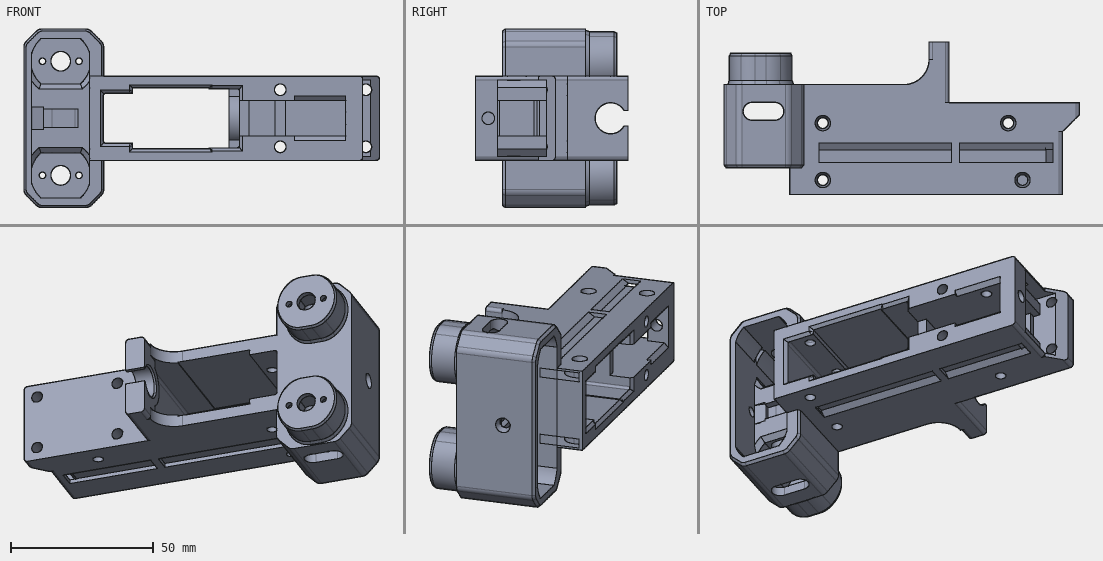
import cadquery as cq
import math


body_left = 23.1
body_right = 118.8
body_half_z = 14.8
rear_y = 38.6
step_y = 32.25
flange_tip_x = 124.75
flange_tip_y = 28.05
edge_round = 1.3

tab_left = 71.9
tab_right = 79.0
tab_top = 53.5
tab_root_radius = 8.7
clip_y = 47.4
clip_radius = 5.4
clip_chamfer = 0.6
clip_gap = 5.4
clip_ring_radius = 8.75
clip_relief_y = 43.0

housing_width = 28.05
housing_half_z = 31.35
housing_front = 9.4
housing_corner = 5.2
housing_corner_round = 3.0
housing_rim_chamfer = 1.05
housing_rim_depth = 0.8
boss_x = 12.93
boss_z = 20.0
boss_top = 49.55
boss_radius = 11.07
boss_half_z = 10.4
boss_flat_blend = 8.0
boss_top_chamfer = 1.0
boss_foot_height = 1.4
boss_foot_flare = 0.5
cavity_radius = 10.5
cavity_half_x = 10.16
cavity_half_z = 7.9
cavity_floor_y = 23.3
pocket_floor_y = 47.5
pocket_mouth_chamfer = 1.8
shaft_radius = 3.4
screw_radius = 1.1
screw_spacing = 12.8
wire_recess_depth = 2.5
wire_ramp_depth = 1.0
wire_recess_x = (6.95, 19.05)
wire_recess_half_z = 3.2
wire_ramp_left = 2.9
wire_ramp_half_z = 4.0
vent_slot_x = 13.9
vent_slot_y = 29.2
vent_slot_length = 14.2
vent_slot_width = 6.2
side_hole_y = 21.3

window_mouth = 1.1
window_left = 26.8
window_right = 76.7
window_step_left = 37.0
window_step_right = 66.0
window_half_left = 9.85
window_half_mid = 11.75
window_half_right = 11.45
window_corner = 2.0

channel_right = 112.85
channel_half_z = 6.2
channel_steps = ((window_right - window_mouth, 8.5), (tab_right, 20.5), (88.0, 21.5), (91.8, 22.5))
relief_left = 94.85
relief_half_z = 7.8
exit_front_y = 7.8
exit_back_y = 24.9
exit_half_z = 13.35
exit_wall_x = 115.4
exit_ramp_z = 10.8
end_hole_y = 4.5
end_hole_radius = 2.2

outer_slots = ((33.4, 79.85), (82.7, exit_wall_x))
slot_front_y = 11.3
slot_rear_y = 18.0
slot_lean = 2.3
slot_depth = 1.5

strap_y = (1.25, 15.8)
strap_z = (10.7, 14.05)
strap_depth = 3.5
strap_bend_y = 4.3
strap_bend_radius = 5.0

front_hole_x = 89.9
front_hole_pitch = 30.0
front_hole_z = 10.0
front_hole_radius = 2.0
thread_radius = 1.85
thread_mouth_radius = 2.7
thread_taper = 4.5
low_hole_y = 5.1
high_hole_y = 25.05
left_hole_x = 34.7
high_right_hole_x = 99.7
low_right_hole_x = 104.7


def box(x_range, y_range, z_range):
    """Axis-aligned box between pairs of limits."""
    size = [r[1] - r[0] for r in (x_range, y_range, z_range)]
    corner = (x_range[0], y_range[0], z_range[0])
    return cq.Workplane("XY").box(*size, centered=False).translate(corner)


def span(half):
    """Limits at equal distances either side of zero."""
    return (-half, half)


def cylinder(start, direction, radius, length):
    return cq.Workplane(cq.Solid.makeCylinder(radius, length, cq.Vector(*start), cq.Vector(*direction)))


def cone(start, direction, radius_start, radius_end, length):
    return cq.Workplane(
        cq.Solid.makeCone(radius_start, radius_end, length, cq.Vector(*start), cq.Vector(*direction))
    )


def tapered_hole(start, direction, length, taper_length):
    """Screw hole that narrows from a wide mouth at the start point."""
    hole = cylinder(start, direction, thread_radius, length)
    mouth = cone(start, direction, thread_mouth_radius, thread_radius, taper_length)
    return hole.union(mouth)


def facing_y(y):
    """Workplane at the given Y whose sketch axes are X and Z (normal toward -Y)."""
    return cq.Workplane(cq.Plane(origin=(0, y, 0), xDir=(1, 0, 0), normal=(0, -1, 0)))


def flatted_disc(center_z, radius, half_x, half_z, y_range):
    """Disc around the boss axis, cut by flats in X and Z."""
    disc = cylinder((boss_x, y_range[0], center_z), (0, 1, 0), radius, y_range[1] - y_range[0])
    z_range = (center_z - half_z, center_z + half_z)
    limits = box((boss_x - half_x, boss_x + half_x), y_range, z_range)
    return disc.intersect(limits)


def tapered(outline, height, shrink):
    """Solid rising from an outline toward +Y, shrinking evenly over its height."""
    angle = math.degrees(math.atan2(shrink, height))
    return cq.Workplane(cq.Solid.extrudeLinear(outline, [], cq.Vector(0, height, 0), angle))


def make_body():
    arc_center = (tab_left - tab_root_radius, rear_y + tab_root_radius)
    arc_reach = tab_root_radius * math.sqrt(0.5)
    arc_mid = (arc_center[0] + arc_reach, arc_center[1] - arc_reach)
    slope_rise = flange_tip_x - body_right
    body = (
        cq.Workplane("XY", origin=(0, 0, -body_half_z))
        .moveTo(body_left, 0)
        .lineTo(body_right, 0)
        .lineTo(body_right, flange_tip_y - slope_rise)
        .lineTo(flange_tip_x, flange_tip_y)
        .lineTo(flange_tip_x, step_y)
        .lineTo(tab_right, step_y)
        .lineTo(tab_right, tab_top)
        .lineTo(tab_left, tab_top)
        .lineTo(tab_left, arc_center[1])
        .threePointArc(arc_mid, (arc_center[0], rear_y))
        .lineTo(body_left, rear_y)
        .close()
        .extrude(2 * body_half_z)
    )
    for end_x, y_low, y_high in (
        (body_right, 0, flange_tip_y - slope_rise),
        (flange_tip_x, flange_tip_y - edge_round, step_y),
        (tab_right, step_y, tab_top),
    ):
        body = body.cut(edge_rounds(end_x, 1, y_low, y_high))
    return body.cut(edge_rounds(tab_left, -1, arc_center[1], tab_top))


def edge_rounds(end_x, outward, y_low, y_high):
    """Waste left outside the rounded upper and lower edges of an end face."""
    inner_x = end_x - outward * edge_round
    waste = None
    for side in (1, -1):
        inner_z = side * (body_half_z - edge_round)
        block = box(
            sorted((inner_x, end_x)), (y_low, y_high), sorted((inner_z, side * body_half_z))
        )
        rounded = cylinder((inner_x, y_low, inner_z), (0, 1, 0), edge_round, y_high - y_low)
        block = block.cut(rounded)
        waste = block if waste is None else waste.union(block)
    return waste


def make_housing():
    shell = (
        box((0, housing_width), (housing_front, rear_y), span(housing_half_z))
        .edges("|Y").chamfer(housing_corner)
        .edges("|Y").fillet(housing_corner_round)
        .faces("<Y").chamfer(housing_rim_depth, housing_rim_chamfer)
    )
    for side in (1, -1):
        shell = shell.union(make_boss(side * boss_z))
    return shell


def blended_disc(center_z, grow, y_range):
    """Boss section, enlarged by grow, whose flats run smoothly into its round sides."""
    radius = boss_radius + grow
    disc = flatted_disc(center_z, radius, radius, boss_half_z + grow, y_range)
    return disc.edges("|Y").edges("<Z or >Z").fillet(boss_flat_blend)


def make_boss(center_z):
    boss = blended_disc(center_z, 0, (rear_y, boss_top))
    boss = boss.faces(">Y").chamfer(boss_top_chamfer / 2, boss_top_chamfer)
    foot_outline = blended_disc(center_z, boss_foot_flare, (rear_y, boss_top)).faces("<Y").wires().val()
    return boss.union(tapered(foot_outline, boss_foot_height, boss_foot_flare))


def cut_housing(part):
    depth_range = (housing_front, cavity_floor_y)
    cavity = box((boss_x - cavity_half_x, boss_x + cavity_half_x), depth_range, span(boss_z))
    for side in (1, -1):
        z = side * boss_z
        cavity = cavity.union(flatted_disc(z, cavity_radius, cavity_half_x, cavity_half_z, depth_range))
        cavity = cavity.union(boss_pocket(z))
        cavity = cavity.union(cylinder((boss_x, pocket_floor_y, z), (0, 1, 0), shaft_radius, boss_top))
        for offset in span(screw_spacing / 2):
            cavity = cavity.union(
                cylinder((boss_x + offset, pocket_floor_y, z), (0, 1, 0), screw_radius, boss_top)
            )
    vent = (
        cq.Workplane("XY", origin=(vent_slot_x, vent_slot_y, -housing_half_z))
        .slot2D(vent_slot_length, vent_slot_width)
        .extrude(2 * housing_half_z)
    )
    side_hole = tapered_hole((0, side_hole_y, 0), (1, 0, 0), boss_x, boss_x - cavity_half_x)
    return part.cut(cavity).cut(wire_recess()).cut(vent).cut(side_hole)


def boss_pocket(z):
    """Recess into a boss, with a widened mouth at the cavity floor."""
    pocket = flatted_disc(z, cavity_radius, cavity_half_x, cavity_half_z, (cavity_floor_y, pocket_floor_y))
    mouth_outline = flatted_disc(
        z,
        cavity_radius + pocket_mouth_chamfer,
        cavity_half_x + pocket_mouth_chamfer,
        cavity_half_z + pocket_mouth_chamfer,
        (cavity_floor_y, pocket_floor_y),
    ).faces("<Y").wires().val()
    mouth = tapered(mouth_outline, pocket_mouth_chamfer, pocket_mouth_chamfer)
    inner_z = math.copysign(boss_z - cavity_half_z - pocket_mouth_chamfer, z)
    outer_z = math.copysign(boss_z + cavity_half_z, z)
    limits = box(
        (boss_x - cavity_half_x, boss_x + cavity_half_x),
        (cavity_floor_y, pocket_floor_y),
        sorted((inner_z, outer_z)),
    )
    return pocket.union(mouth.intersect(limits))


def wire_recess():
    recess_bottom = cavity_floor_y + wire_recess_depth
    recess = box(wire_recess_x, (cavity_floor_y, recess_bottom), span(wire_recess_half_z))
    ramp = (
        cq.Workplane("XY", origin=(0, 0, -wire_ramp_half_z))
        .moveTo(wire_ramp_left, cavity_floor_y)
        .lineTo(wire_recess_x[0], cavity_floor_y)
        .lineTo(wire_recess_x[0], cavity_floor_y + wire_ramp_depth)
        .close()
        .extrude(2 * wire_ramp_half_z)
    )
    return recess.union(ramp)


def window_outline(inset):
    """Window outline on the front face, shrunk by the inset on every side."""
    left = window_left + inset
    right = window_right - inset
    half_left = window_half_left - inset
    half_mid = window_half_mid - inset
    half_right = window_half_right - inset
    step_left = window_step_left + inset
    step_right = window_step_right - inset
    return (
        facing_y(0)
        .moveTo(left, -half_left)
        .lineTo(step_left, -half_left)
        .lineTo(step_left, -half_mid)
        .lineTo(step_right, -half_mid)
        .lineTo(step_right, -half_right)
        .lineTo(right, -half_right)
        .lineTo(right, half_right)
        .lineTo(step_right, half_right)
        .lineTo(step_right, half_mid)
        .lineTo(step_left, half_mid)
        .lineTo(step_left, half_left)
        .lineTo(left, half_left)
        .close()
    )


def window_opening():
    """Window through the body, stopping at the rounded collar of the clip."""
    opening = window_outline(window_mouth).extrude(-clip_relief_y)
    opening = opening.edges("|Y").edges("<X or >X").fillet(window_corner - window_mouth)
    mouth = tapered(window_outline(0).val(), window_mouth, window_mouth)
    right_half_z = window_half_right - window_mouth
    through = box((window_step_right, tab_left), (clip_relief_y, tab_top), span(right_half_z))
    collar = cylinder((tab_left, clip_y, 0), (1, 0, 0), clip_ring_radius, tab_right - tab_left)
    return opening.union(mouth).cut(collar).union(through)


def clip_opening():
    """Rod hole along X, chamfered on its left mouth and open to the rear."""
    bore = cylinder((tab_left, clip_y, 0), (1, 0, 0), clip_radius, tab_right - tab_left)
    mouth_radius = clip_radius + clip_chamfer
    mouth = cone((tab_left, clip_y, 0), (1, 0, 0), mouth_radius, clip_radius, clip_chamfer)
    gap = box((tab_left, tab_right), (clip_y, tab_top), span(clip_gap / 2))
    return bore.union(mouth).union(gap)


def end_exit():
    """Opening through the right end wall; ramps lead down into it from the outer slots."""
    upper_half = (
        facing_y(exit_front_y)
        .moveTo(channel_right, 0)
        .lineTo(channel_right, channel_half_z)
        .lineTo(exit_wall_x, channel_half_z)
        .lineTo(exit_wall_x, exit_ramp_z)
        .lineTo(channel_right, exit_half_z)
        .lineTo(flange_tip_x, exit_half_z)
        .lineTo(flange_tip_x, 0)
        .close()
        .extrude(exit_front_y - exit_back_y)
    )
    return upper_half.union(upper_half.mirror("XY"))


def channel_opening():
    """Narrow front channel with stepped back, sloped relief and an opening at the right end."""
    hole_length = body_right - channel_right
    end_hole = cylinder((channel_right, end_hole_y, 0), (1, 0, 0), end_hole_radius, hole_length)
    opening = end_exit().union(end_hole)
    for left, back_y in channel_steps:
        opening = opening.union(box((left, channel_right), (0, back_y), span(channel_half_z)))
    slope = relief_half_z - channel_half_z
    relief = (
        cq.Workplane("YZ", origin=(relief_left, 0, 0))
        .moveTo(0, -relief_half_z)
        .lineTo(slope, -channel_half_z)
        .lineTo(slope, channel_half_z)
        .lineTo(0, relief_half_z)
        .close()
        .extrude(channel_right - relief_left)
    )
    return opening.union(relief)


def cut_outer_slots(part):
    """Blind slots whose rear wall leans forward with depth, on both Z faces."""
    for side in (1, -1):
        face_z = side * body_half_z
        floor_z = side * (body_half_z - slot_depth)
        for left, right in outer_slots:
            slot = (
                cq.Workplane("YZ", origin=(left, 0, 0))
                .moveTo(slot_front_y, floor_z)
                .lineTo(slot_rear_y - slot_lean, floor_z)
                .lineTo(slot_rear_y, face_z)
                .lineTo(slot_front_y, face_z)
                .close()
                .extrude(right - left)
            )
            part = part.cut(slot)
    return part


def cut_strap_slots(part):
    """Strap channels that enter the left face and bend round to meet the outer slots."""
    bend_x = body_left + strap_depth
    bend_shift = strap_bend_radius * (1 - math.sqrt(0.5))
    bend_rise = strap_bend_radius * math.sqrt(0.5)
    bend_end = (bend_x + strap_bend_radius, strap_bend_y + strap_bend_radius)
    channel_end = outer_slots[0][0]
    for side in (1, -1):
        channel = (
            cq.Workplane("XY", origin=(0, 0, side * strap_z[0]))
            .moveTo(body_left, strap_y[0])
            .lineTo(bend_x, strap_y[0])
            .lineTo(bend_x, strap_bend_y)
            .threePointArc((bend_x + bend_shift, strap_bend_y + bend_rise), bend_end)
            .lineTo(channel_end, bend_end[1])
            .lineTo(channel_end, strap_y[1])
            .lineTo(body_left, strap_y[1])
            .close()
            .extrude(side * (strap_z[1] - strap_z[0]))
        )
        part = part.cut(channel)
    return part


def cut_screw_holes(part):
    end_hole_x = front_hole_x + front_hole_pitch
    for x, start_y in ((front_hole_x, 0), (end_hole_x, exit_back_y)):
        for z in span(front_hole_z):
            part = part.cut(cylinder((x, start_y, z), (0, 1, 0), front_hole_radius, rear_y))
    for x, y in (
        (left_hole_x, low_hole_y),
        (left_hole_x, high_hole_y),
        (high_right_hole_x, high_hole_y),
    ):
        part = part.cut(tapered_hole((x, y, body_half_z), (0, 0, -1), 2 * body_half_z, thread_taper))
    blind = tapered_hole((low_right_hole_x, low_hole_y, body_half_z), (0, 0, -1), body_half_z, thread_taper)
    return part.cut(blind)


part = make_body().union(make_housing())
part = cut_housing(part)
part = part.cut(window_opening()).cut(clip_opening()).cut(channel_opening())
part = cut_outer_slots(part)
part = cut_strap_slots(part)
result = cut_screw_holes(part)